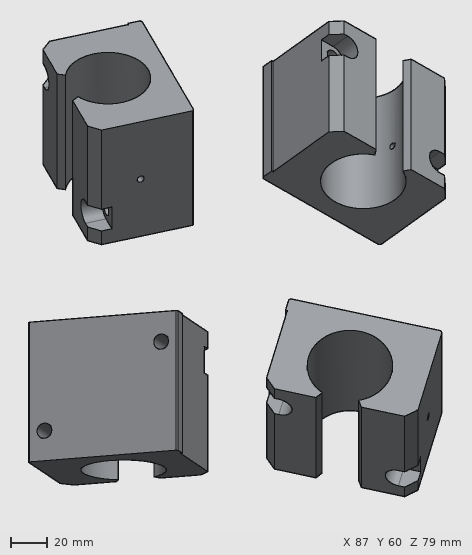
import cadquery as cq
import math

width = 87.0
depth = 60.0
height = 79.0
front_wall = 25.05
bore_radius = 23.5

ledge_width = 1.05
ledge_depth = 8.0
back_chamfer = 1.0
front_chamfer = 6.0

lip_half_width = 10.35
mouth_half_width = 12.9

screw_x = 33.9
screw_z = 22.5
screw_diameter = 8.5
pocket_width = 15.0
pocket_depth = 12.0

cross_hole_diameter = 4.0
cross_hole_angle = 5.0

right_x = width / 2
left_x = -right_x
body_left_x = left_x + ledge_width
front_y = -front_wall
back_y = front_y + depth
lip_y = -math.sqrt(bore_radius**2 - lip_half_width**2)


def block():
    """C-shaped section, extruded along the bore axis."""
    outline = [
        (-mouth_half_width, front_y),
        (body_left_x + front_chamfer, front_y),
        (body_left_x, front_y + front_chamfer),
        (body_left_x, back_y - ledge_depth),
        (left_x, back_y - ledge_depth),
        (left_x, back_y - back_chamfer),
        (left_x + back_chamfer, back_y),
        (right_x - back_chamfer, back_y),
        (right_x, back_y - back_chamfer),
        (right_x, front_y + front_chamfer),
        (right_x - front_chamfer, front_y),
        (mouth_half_width, front_y),
        (lip_half_width, lip_y),
    ]
    return (
        cq.Workplane("XY", origin=(0, 0, -height / 2))
        .polyline(outline)
        .threePointArc((0, bore_radius), (-lip_half_width, lip_y))
        .close()
        .extrude(height)
    )


def screw_cut(side):
    """Through hole with a round-ended pocket open to one side (-1 left, 1 right)."""
    x = side * screw_x
    z = -side * screw_z
    front = cq.Workplane("XZ", origin=(x, front_y, z))
    hole = front.circle(screw_diameter / 2).extrude(-depth)
    round_end = front.circle(pocket_width / 2).extrude(-pocket_depth)
    run_out = right_x - screw_x
    open_end = (
        front.center(side * run_out / 2, 0)
        .rect(run_out, pocket_width)
        .extrude(-pocket_depth)
    )
    return hole.union(round_end).union(open_end)


def cross_hole():
    """Radial hole at mid-height, running out through the right side."""
    reach = width
    hole = cq.Workplane("YZ").circle(cross_hole_diameter / 2).extrude(reach)
    return hole.rotate((0, 0, 0), (0, 0, 1), cross_hole_angle)


result = block()
for side in (-1, 1):
    result = result.cut(screw_cut(side))
result = result.cut(cross_hole())